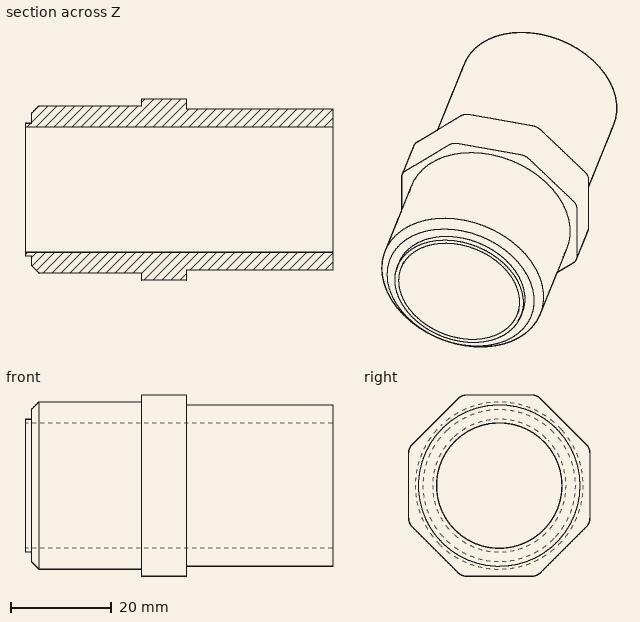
import cadquery as cq

total_length = 61.0
bore_diameter = 24.8
lip_diameter = 26.4
lip_length = 1.15
body_diameter = 33.25
chamfer_length = 1.5
chamfer_depth = 1.5
spigot_diameter = 32.0
collar_start = 23.0
collar_length = 8.95
collar_across_flats = 36.0
collar_corner_radius = 2.45


def cylinder_along_x(diameter, start, end):
    return cq.Workplane("YZ").workplane(offset=start).circle(diameter / 2).extrude(end - start)


def octagonal_collar():
    """Octagon with flats facing Y and Z: a square cut by a square turned 45 degrees."""
    square = (
        cq.Workplane("YZ")
        .workplane(offset=collar_start)
        .rect(collar_across_flats, collar_across_flats)
        .extrude(collar_length)
    )
    turned_square = square.rotate((0, 0, 0), (1, 0, 0), 45)
    return square.intersect(turned_square).edges("|X").fillet(collar_corner_radius)


def chamfered_body():
    """Larger cylinder between lip and collar, bevelled at its free end."""
    body = cylinder_along_x(body_diameter, lip_length, collar_start)
    return body.faces("<X").chamfer(chamfer_length, chamfer_depth)


lip = cylinder_along_x(lip_diameter, 0, lip_length)
spigot = cylinder_along_x(spigot_diameter, collar_start + collar_length, total_length)
bore = cylinder_along_x(bore_diameter, 0, total_length)

result = lip.union(chamfered_body()).union(octagonal_collar()).union(spigot).cut(bore)